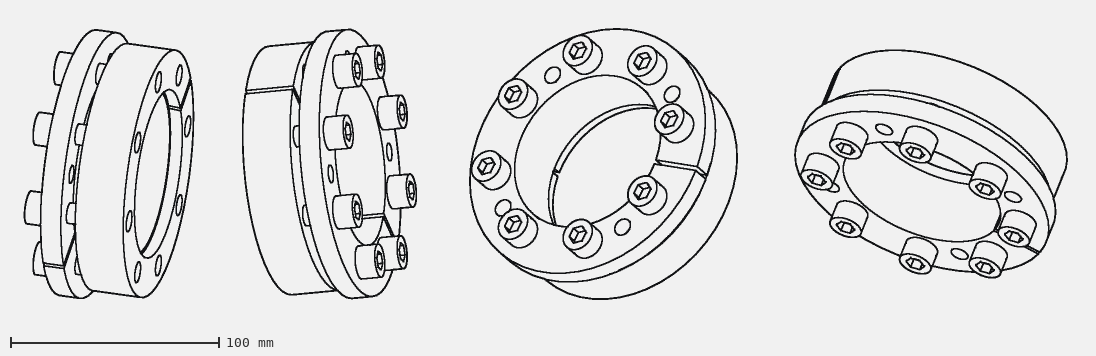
import cadquery as cq
import math


flange_diameter = 128.9
flange_thickness = 10.2
bore_diameter = 79.9
cone_large_radius = 43.5
taper_angle = 5.0
exposed_cone_length = 5.9
cone_setback = 6.0

ring_diameter = 120.0
ring_length = 24.0

slit_width = 2.0
ring_slit_angle = 22.5
flange_slit_angle = ring_slit_angle + 180.0

screw_count = 8
screw_pitch = 360.0 / screw_count
screw_circle_radius = 50.0
shank_diameter = 10.0
head_diameter = 16.0
head_height = 9.9
socket_across_flats = 8.0
socket_depth = 5.0
socket_across_corners = socket_across_flats / math.cos(math.radians(30.0))

jacking_hole_count = 4
jacking_hole_diameter = 8.5
jacking_hole_start = 1.5 * screw_pitch

ring_start = flange_thickness + exposed_cone_length
ring_end = ring_start + ring_length
cone_end = ring_end - cone_setback


def cone_radius(x):
    """Radius of the shared taper at position x."""
    return cone_large_radius - (x - flange_thickness) * math.tan(math.radians(taper_angle))


def cylinder(x_start, x_end, diameter):
    """Solid cylinder on the X axis."""
    return cq.Workplane("YZ", origin=(x_start, 0, 0)).circle(diameter / 2).extrude(x_end - x_start)


def taper(x_start, x_end):
    """Solid of the shared taper on the X axis."""
    outline = [
        (x_start, 0),
        (x_start, cone_radius(x_start)),
        (x_end, cone_radius(x_end)),
        (x_end, 0),
    ]
    return cq.Workplane("XY").polyline(outline).close().revolve(360, (0, 0, 0), (1, 0, 0))


def hole_pattern(count, start_angle, diameter):
    """Rods parallel to X on the screw circle, as long as both rings together."""
    return (
        cq.Workplane("YZ")
        .polarArray(screw_circle_radius, start_angle, 360, count)
        .circle(diameter / 2)
        .extrude(ring_end)
    )


def slit(angle):
    """Thin radial slab that runs from the axis outward past both rings."""
    slab = cq.Workplane("XY").box(ring_end, flange_diameter, slit_width, centered=(False, False, True))
    return slab.rotate((0, 0, 0), (1, 0, 0), angle)


def make_flanged_cone():
    body = cylinder(0, flange_thickness, flange_diameter).union(taper(flange_thickness, cone_end))
    body = body.cut(cylinder(0, cone_end, bore_diameter))
    body = body.cut(hole_pattern(screw_count, 0, shank_diameter))
    body = body.cut(hole_pattern(jacking_hole_count, jacking_hole_start, jacking_hole_diameter))
    return body.cut(slit(flange_slit_angle))


def make_clamping_ring():
    body = cylinder(ring_start, ring_end, ring_diameter).cut(taper(ring_start, ring_end))
    body = body.cut(hole_pattern(screw_count, 0, shank_diameter))
    return body.cut(slit(ring_slit_angle))


def make_screw(angle):
    """Socket-head screw on the screw circle; its shank ends flush with the ring."""
    center_y = screw_circle_radius * math.cos(math.radians(angle))
    center_z = screw_circle_radius * math.sin(math.radians(angle))
    head = cylinder(-head_height, 0, head_diameter)
    shank = cylinder(0, ring_end, shank_diameter)
    socket = (
        cq.Workplane("YZ", origin=(-head_height, 0, 0))
        .polygon(6, socket_across_corners)
        .extrude(socket_depth)
    )
    return head.union(shank).cut(socket).translate((0, center_y, center_z))


flanged_cone = make_flanged_cone()
clamping_ring = make_clamping_ring()
screws = [make_screw(index * screw_pitch) for index in range(screw_count)]

result = cq.Compound.makeCompound(
    [flanged_cone.val(), clamping_ring.val(), *[screw.val() for screw in screws]]
)